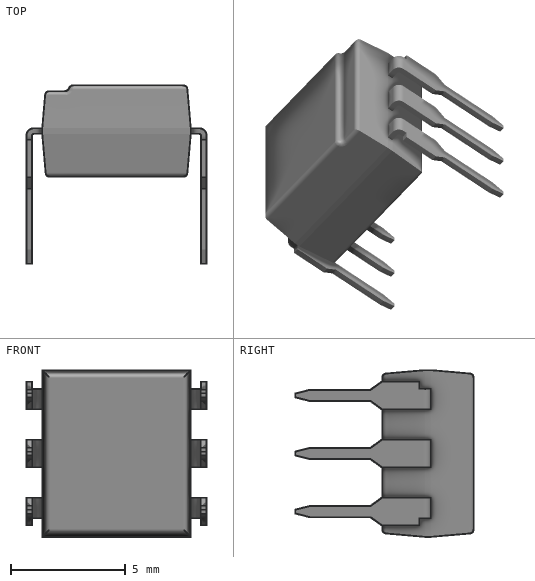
import cadquery as cq
import math


overall_width = 7.88
housing_width = 6.5
housing_height = 7.3
half_depth = 1.875
draft_angle = 5.0
edge_radius = 0.2

step_depth = 0.25
step_start = 1.89
step_radius = 0.2

lead_thickness = 0.25
lead_pitch = 2.54
bend_inner_radius = 0.07
wide_width = 1.21
narrow_width = 0.5
tip_width = 0.17
end_arm_half_width = 0.29
shoulder_drop = 0.5
neck_start_drop = 2.14
neck_end_drop = 2.64
tip_start_drop = 5.295
lead_drop = 5.925

band_face = lead_thickness / 2
back_face = band_face + half_depth
step_floor = back_face - step_depth
lead_outer = overall_width / 2
lead_inner = lead_outer - lead_thickness
bend_outer_radius = bend_inner_radius + lead_thickness
housing_side = housing_width / 2
tip_end = band_face - lead_drop


def make_tapered_half():
    """Half of the housing that narrows from the band towards -Y."""
    return (
        cq.Workplane("XZ", origin=(0, -band_face, 0))
        .rect(housing_width, housing_height)
        .extrude(half_depth, taper=draft_angle)
    )


def make_step_cutter():
    """Material above the step: a flat floor joined to the back face by two tangent arcs."""
    centre_rise = 2 * step_radius - step_depth
    step_run = math.sqrt((2 * step_radius) ** 2 - centre_rise**2)
    half_turn = math.asin(step_run / (2 * step_radius)) / 2
    arc_reach = step_radius * math.sin(half_turn)
    arc_rise = step_radius * (1 - math.cos(half_turn))
    floor_end = -step_start - step_run
    return (
        cq.Workplane("XY", origin=(0, 0, -housing_height / 2))
        .moveTo(-housing_width, step_floor)
        .lineTo(floor_end, step_floor)
        .threePointArc(
            (floor_end + arc_reach, step_floor + arc_rise),
            (floor_end + step_run / 2, step_floor + step_depth / 2),
        )
        .threePointArc((-step_start - arc_reach, back_face - arc_rise), (-step_start, back_face))
        .lineTo(-step_start, back_face + step_depth)
        .lineTo(-housing_width, back_face + step_depth)
        .close()
        .extrude(housing_height)
    )


def make_back_half():
    half = make_tapered_half().mirror("XZ").cut(make_step_cutter())
    rim = cq.selectors.BoxSelector(
        (-housing_width, step_floor - edge_radius, -housing_height),
        (housing_width, back_face + edge_radius, housing_height),
    )
    return half.edges(rim).edges("(not |Z) or >X or <X").fillet(edge_radius)


def make_housing():
    band = cq.Workplane("XY").box(housing_width, lead_thickness, housing_height)
    front_half = make_tapered_half().faces("<Y").edges().fillet(edge_radius)
    return band.union(front_half).union(make_back_half())


def make_bent_strip():
    """Lead stock on the +X side, full width, running from the housing around the bend to the tip."""
    strip = (
        cq.Workplane("XY", origin=(0, 0, -wide_width / 2))
        .moveTo(housing_side, band_face)
        .lineTo(lead_outer, band_face)
        .lineTo(lead_outer, tip_end)
        .lineTo(lead_inner, tip_end)
        .lineTo(lead_inner, -band_face)
        .lineTo(housing_side, -band_face)
        .close()
        .extrude(wide_width)
    )
    outer_bend = cq.selectors.NearestToPointSelector((lead_outer, band_face, 0))
    inner_bend = cq.selectors.NearestToPointSelector((lead_inner, -band_face, 0))
    strip = strip.edges("|Z").edges(outer_bend).fillet(bend_outer_radius)
    return strip.edges("|Z").edges(inner_bend).fillet(bend_inner_radius)


def make_lead():
    """Full-width lead on the +X side, centred on Z = 0, narrowing to a pointed pin."""
    upper_edge = [
        (band_face, wide_width / 2),
        (band_face - neck_start_drop, wide_width / 2),
        (band_face - neck_end_drop, narrow_width / 2),
        (band_face - tip_start_drop, narrow_width / 2),
        (tip_end, tip_width / 2),
    ]
    lower_edge = [(y, -z) for y, z in reversed(upper_edge)]
    blade = cq.Workplane("YZ").polyline(upper_edge + lower_edge).close().extrude(overall_width)
    return make_bent_strip().intersect(blade)


def trim_arm(lead, outward):
    """Cut the arm and bend back on the outward side (+1 for up, -1 for down), leaving a shoulder."""
    trim_width = wide_width / 2 - end_arm_half_width
    trim_centre = outward * (end_arm_half_width + trim_width / 2)
    trim = (
        cq.Workplane("XY", origin=(0, band_face - shoulder_drop / 2, trim_centre))
        .box(2 * overall_width, shoulder_drop, trim_width)
    )
    return lead.cut(trim)


def make_leads():
    """Three leads on each side; the arms of the top and bottom leads are trimmed outward."""
    leads = []
    for row in (-1, 0, 1):
        lead = make_lead()
        if row != 0:
            lead = trim_arm(lead, row)
        lead = lead.translate((0, 0, row * lead_pitch))
        leads.append(lead.val())
        leads.append(lead.mirror("YZ").val())
    return leads


housing = make_housing()
leads = make_leads()
result = cq.Compound.makeCompound([housing.val(), *leads])